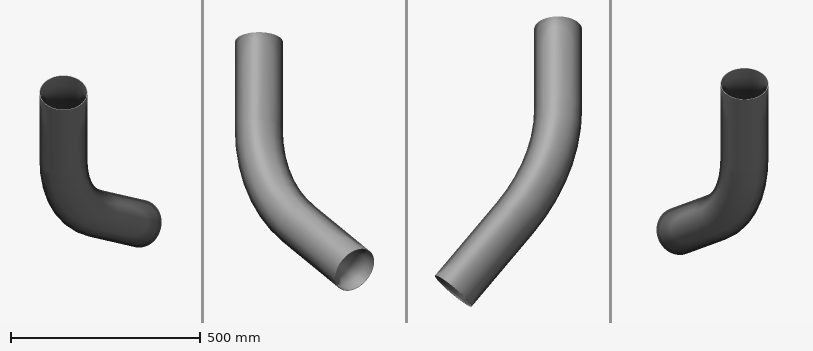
import cadquery as cq
import math

outer_diameter = 127.0
inner_diameter = 124.0
leg_length = 253.0
bend_angle = 45
overall_height = 784

slope = math.sin(math.radians(bend_angle))
bend_radius = (overall_height - leg_length) / slope - leg_length - outer_diameter / 2


def pipe_section(workplane):
    """Draw the annular pipe section at the centre of the workplane."""
    return workplane.circle(outer_diameter / 2).circle(inner_diameter / 2)


upper_leg = pipe_section(cq.Workplane("XY")).extrude(leg_length)

bend = pipe_section(cq.Workplane("XY")).revolve(
    bend_angle, (0, bend_radius, 0), (1, bend_radius, 0)
)

lower_leg = (
    pipe_section(cq.Workplane("XY"))
    .extrude(-leg_length)
    .rotate((0, bend_radius, 0), (1, bend_radius, 0), bend_angle)
)

result = upper_leg.union(bend).union(lower_leg)